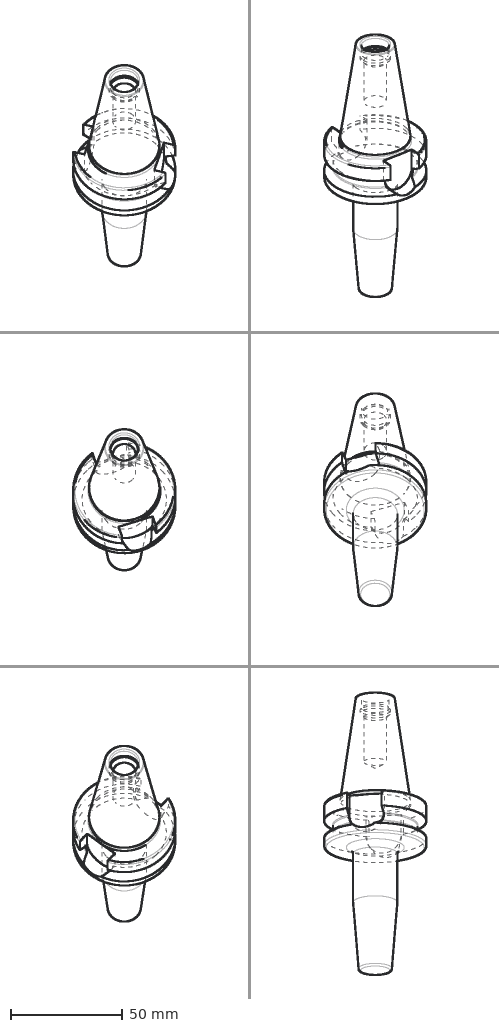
import cadquery as cq
import math


taper_length = 48.4
gauge_radius = 15.875
taper_ratio = 7 / 24
taper_end_radius = gauge_radius - taper_length * taper_ratio / 2
taper_end_fillet = 0.4

relief_radius = 15.6
relief_lead_angle = 45.0
relief_lead_fillet = 0.6
relief_fillet = 0.75

flange_radius = 23.0
flange_top = -2.0
flange_bottom = -22.0
flange_top_fillet = 0.8
flange_bottom_fillet = 1.0
groove_center = -13.6
groove_mouth_width = 8.2
groove_floor_radius = 19.0
groove_corner_fillet = 0.6
groove_flank_angle = 30.0

slot_width = 16.1
slot_floor_x = 16.3
slot_end_z = -19.5

neck_radius = 10.0
neck_fillet = 3.0
nose_top = -48.0
nose_bottom = -80.0
nose_angle = 4.5
nose_end_radius = neck_radius - (nose_top - nose_bottom) * math.tan(math.radians(nose_angle))
nose_end_fillet = 1.0

pilot_radius = 6.25
pilot_mouth_fillet = 0.7
pilot_depth = 4.7
undercut_radius = 6.9
undercut_flank_angle = 30.0
undercut_wall_length = 1.2
drill_radius = 5.1
drill_depth = 30.0
drill_point_angle = 118.0


def revolve_about_z(outline):
    """Turn a closed outline in the XZ plane about the Z axis."""
    return outline.revolve(360, (0, 0, 0), (0, 1, 0))


def circle_edges(body, radius, z):
    """Select the circular edge of the given radius centred on the Z axis at height z."""
    margin = 0.01
    outer = cq.selectors.BoxSelector(
        (-radius - margin, -radius - margin, z - margin),
        (radius + margin, radius + margin, z + margin),
        boundingbox=True,
    )
    inner = cq.selectors.BoxSelector(
        (-radius + margin, -radius + margin, z - margin),
        (radius - margin, radius - margin, z + margin),
        boundingbox=True,
    )
    return body.edges(cq.selectors.SubtractSelector(outer, inner)).edges("%CIRCLE")


def make_body():
    """Revolve the sharp outer outline about Z, then round its edges."""
    flank_drop = (flange_radius - groove_floor_radius) * math.tan(math.radians(groove_flank_angle))
    floor_top = groove_center + groove_mouth_width / 2 - flank_drop
    floor_bottom = groove_center - groove_mouth_width / 2 + flank_drop
    relief_top = -(gauge_radius - relief_radius) * math.tan(math.radians(relief_lead_angle))
    outline = (
        cq.Workplane("XZ")
        .moveTo(0, taper_length)
        .lineTo(taper_end_radius, taper_length)
        .lineTo(gauge_radius, 0)
        .lineTo(relief_radius, relief_top)
        .lineTo(relief_radius, flange_top)
        .lineTo(flange_radius, flange_top)
        .lineTo(flange_radius, floor_top + flank_drop)
        .lineTo(groove_floor_radius, floor_top)
        .lineTo(groove_floor_radius, floor_bottom)
        .lineTo(flange_radius, floor_bottom - flank_drop)
        .lineTo(flange_radius, flange_bottom)
        .lineTo(neck_radius, flange_bottom)
        .lineTo(neck_radius, nose_top)
        .lineTo(nose_end_radius, nose_bottom)
        .lineTo(0, nose_bottom)
        .close()
    )
    body = revolve_about_z(outline)
    rounded_edges = (
        (taper_end_radius, taper_length, taper_end_fillet),
        (relief_radius, relief_top, relief_lead_fillet),
        (relief_radius, flange_top, relief_fillet),
        (groove_floor_radius, floor_top, groove_corner_fillet),
        (groove_floor_radius, floor_bottom, groove_corner_fillet),
        (flange_radius, flange_top, flange_top_fillet),
        (flange_radius, flange_bottom, flange_bottom_fillet),
        (neck_radius, flange_bottom, neck_fillet),
        (nose_end_radius, nose_bottom, nose_end_fillet),
    )
    for radius, z, fillet_radius in rounded_edges:
        body = circle_edges(body, radius, z).fillet(fillet_radius)
    return body


def make_bore():
    """Round-mouthed pilot, undercut, 45 degree step, drilled hole and drill point."""
    flank_length = (undercut_radius - pilot_radius) / math.tan(math.radians(undercut_flank_angle))
    undercut_top = pilot_depth + flank_length
    step_top = undercut_top + undercut_wall_length
    step_bottom = step_top + undercut_radius - drill_radius
    point_length = drill_radius / math.tan(math.radians(drill_point_angle / 2))
    outline = (
        cq.Workplane("XZ", origin=(0, 0, taper_length))
        .lineTo(pilot_radius + pilot_mouth_fillet, 0)
        .radiusArc((pilot_radius, -pilot_mouth_fillet), -pilot_mouth_fillet)
        .lineTo(pilot_radius, -pilot_depth)
        .lineTo(undercut_radius, -undercut_top)
        .lineTo(undercut_radius, -step_top)
        .lineTo(drill_radius, -step_bottom)
        .lineTo(drill_radius, -drill_depth)
        .lineTo(0, -drill_depth - point_length)
        .close()
    )
    return revolve_about_z(outline)


def make_drive_slot(side):
    """Round-ended slot, open at the flange top, on the X side given by side (+1 or -1)."""
    half_width = slot_width / 2
    arc_center_z = slot_end_z + half_width
    return (
        cq.Workplane("YZ", origin=(side * slot_floor_x, 0, 0))
        .moveTo(-half_width, flange_top)
        .lineTo(-half_width, arc_center_z)
        .threePointArc((0, slot_end_z), (half_width, arc_center_z))
        .lineTo(half_width, flange_top)
        .close()
        .extrude(side * (flange_radius - slot_floor_x))
    )


result = make_body().cut(make_bore())
for side in (-1, 1):
    result = result.cut(make_drive_slot(side))